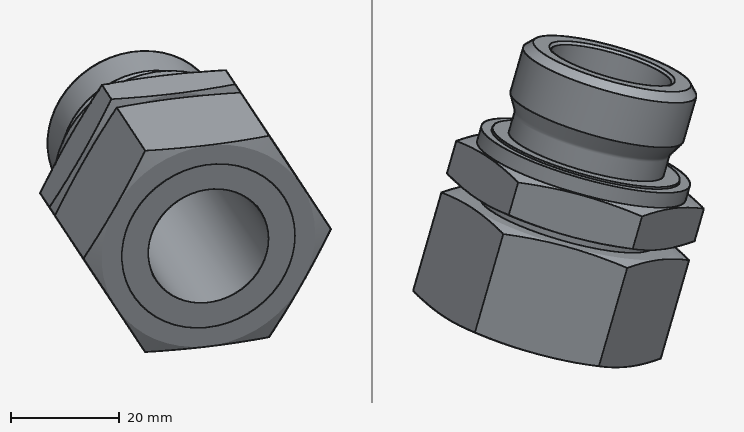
import cadquery as cq
import math


across_flats = 41.0
corner_radius = across_flats / math.sqrt(3)
hex_chamfer_gap = 0.1
hex_chamfer_radius = across_flats / 2 - hex_chamfer_gap
hex_chamfer_angle = 15.0

thread_end = 10.35
collar_start = 18.0
hex_start = 20.9
hex_end = 29.0
nut_start = 31.0
total_length = 52.0

thread_radius = 16.6
tip_chamfer_length = 1.6
tip_chamfer_height = 1.5
neck_radius = 14.8
neck_fillet = 1.4
runout_angle = 30.0
collar_radius = 19.95
tail_radius = 16.55
tail_fillet = 0.7

bore_radius = 11.5
bore_chamfer = 0.5

seal_radius = 17.9
seal_clearance = 0.1
seal_protrusion = 0.35
seal_thickness = 2.5
seal_start = collar_start - seal_protrusion
recess_radius = seal_radius + seal_clearance
recess_floor = seal_start + seal_thickness


def cylinder(start, end, radius):
    """Solid cylinder on the X axis between two stations."""
    return cq.Workplane("YZ").workplane(offset=start).circle(radius).extrude(end - start)


def chamfered_hexagon(start, end):
    """Hexagonal prism, corners on the Y axis, with both ends turned to a shallow cone."""
    prism = cq.Workplane("YZ").workplane(offset=start).polygon(6, 2 * corner_radius).extrude(end - start)
    corner_drop = (corner_radius - hex_chamfer_radius) * math.tan(math.radians(hex_chamfer_angle))
    turned_blank = (
        cq.Workplane("XY")
        .moveTo(start, 0)
        .lineTo(start, hex_chamfer_radius)
        .lineTo(start + corner_drop, corner_radius)
        .lineTo(end - corner_drop, corner_radius)
        .lineTo(end, hex_chamfer_radius)
        .lineTo(end, 0)
        .close()
        .revolve(360, (0, 0, 0), (1, 0, 0))
    )
    return prism.intersect(turned_blank)


def threaded_end():
    """Turned end: chamfered thread cylinder, conical run-out, neck and recessed collar."""
    slope = math.radians(runout_angle)
    fillet_rise = neck_fillet * (1 - math.cos(slope))
    runout_end = thread_end + (thread_radius - neck_radius - fillet_rise) / math.tan(slope)
    neck_start = runout_end + neck_fillet * math.sin(slope)
    arc_middle = (
        neck_start - neck_fillet * math.sin(slope / 2),
        neck_radius + neck_fillet * (1 - math.cos(slope / 2)),
    )
    return (
        cq.Workplane("XY")
        .lineTo(0, thread_radius - tip_chamfer_height)
        .lineTo(tip_chamfer_length, thread_radius)
        .lineTo(thread_end, thread_radius)
        .lineTo(runout_end, neck_radius + fillet_rise)
        .threePointArc(arc_middle, (neck_start, neck_radius))
        .lineTo(recess_floor, neck_radius)
        .lineTo(recess_floor, recess_radius)
        .lineTo(collar_start, recess_radius)
        .lineTo(collar_start, collar_radius)
        .lineTo(hex_start, collar_radius)
        .lineTo(hex_start, 0)
        .close()
        .revolve(360, (0, 0, 0), (1, 0, 0))
    )


def tail():
    """Cylinder that carries the nut, filleted into the hexagon."""
    arc_shift = tail_fillet * (1 - math.sqrt(0.5))
    return (
        cq.Workplane("XY")
        .moveTo(hex_end, 0)
        .lineTo(hex_end, tail_radius + tail_fillet)
        .threePointArc(
            (hex_end + arc_shift, tail_radius + arc_shift),
            (hex_end + tail_fillet, tail_radius),
        )
        .lineTo(total_length, tail_radius)
        .lineTo(total_length, 0)
        .close()
        .revolve(360, (0, 0, 0), (1, 0, 0))
    )


def bore():
    """Through bore with a chamfered mouth at the stud tip."""
    return (
        cq.Workplane("XY")
        .lineTo(0, bore_radius + bore_chamfer)
        .lineTo(bore_chamfer, bore_radius)
        .lineTo(total_length, bore_radius)
        .lineTo(total_length, 0)
        .close()
        .revolve(360, (0, 0, 0), (1, 0, 0))
    )


def make_stud():
    blank = threaded_end().union(chamfered_hexagon(hex_start, hex_end)).union(tail())
    return blank.cut(bore())


def make_seal():
    """Flat ring around the neck, standing slightly proud of the collar."""
    return cylinder(seal_start, recess_floor, seal_radius).cut(
        cylinder(seal_start, recess_floor, neck_radius)
    )


def make_nut():
    """Hexagonal nut with a plain bore that fits the stud's tail."""
    return chamfered_hexagon(nut_start, total_length).cut(
        cylinder(nut_start, total_length, tail_radius)
    )


stud = make_stud()
seal = make_seal()
nut = make_nut()

result = cq.Compound.makeCompound([body.solids().val() for body in (stud, seal, nut)])